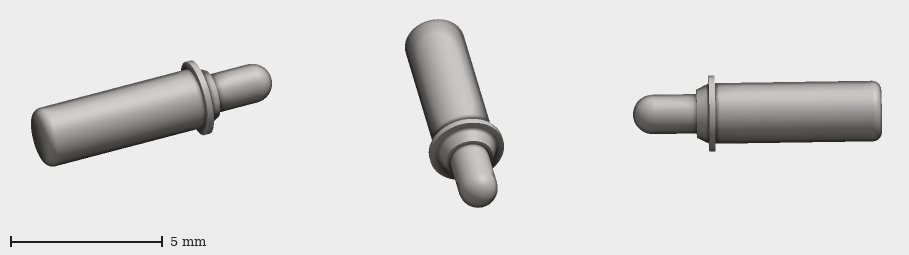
import cadquery as cq
import math

total_length = 8.2

barrel_radius = 1.0
barrel_length = 5.5
barrel_end_fillet = 0.3

flange_radius = 1.25
flange_thickness = 0.2

collar_length = 0.4
collar_foot_fillet = 0.1
collar_foot_radius = 0.95
collar_top_radius = 0.8

plunger_radius = 0.65

flange_back_y = -flange_thickness
barrel_end_y = flange_back_y - barrel_length
tip_y = barrel_end_y + total_length
tip_centre_y = tip_y - plunger_radius


def arc_middle(centre_x, centre_y, radius, x_side, y_side):
    """Midpoint of a quarter arc lying in the quadrant given by the two signs."""
    offset = radius * math.cos(math.radians(45))
    return (centre_x + x_side * offset, centre_y + y_side * offset)


def half_profile():
    """Closed half section in the XY plane, on the +X side of the axis."""
    end_face_radius = barrel_radius - barrel_end_fillet
    fillet_centre_y = barrel_end_y + barrel_end_fillet
    flare_radius = collar_foot_radius + collar_foot_fillet

    end_middle = arc_middle(end_face_radius, fillet_centre_y, barrel_end_fillet, 1, -1)
    foot_middle = arc_middle(flare_radius, collar_foot_fillet, collar_foot_fillet, -1, -1)
    tip_middle = arc_middle(0, tip_centre_y, plunger_radius, 1, 1)

    return (
        cq.Workplane("XY")
        .moveTo(0, barrel_end_y)
        .lineTo(end_face_radius, barrel_end_y)
        .threePointArc(end_middle, (barrel_radius, fillet_centre_y))
        .lineTo(barrel_radius, flange_back_y)
        .lineTo(flange_radius, flange_back_y)
        .lineTo(flange_radius, 0)
        .lineTo(flare_radius, 0)
        .threePointArc(foot_middle, (collar_foot_radius, collar_foot_fillet))
        .lineTo(collar_top_radius, collar_length)
        .lineTo(plunger_radius, collar_length)
        .lineTo(plunger_radius, tip_centre_y)
        .threePointArc(tip_middle, (0, tip_y))
        .close()
    )


result = half_profile().revolve(360, (0, 0, 0), (0, 1, 0))